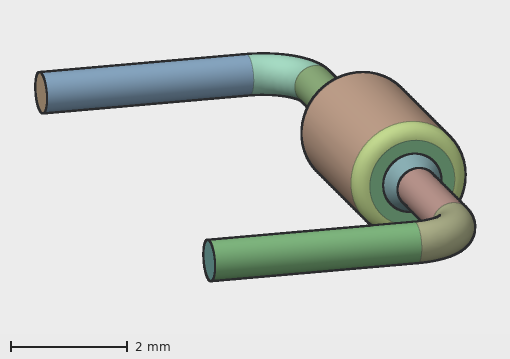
import cadquery as cq

overall_length = 10.87
wire_diameter = 0.72
bend_radius = 0.92
lead_reach = 4.62

body_diameter = 2.04
body_length = 3.48
body_edge_radius = 0.26

collar_length = 0.32
collar_base_diameter = 1.04

wire_radius = wire_diameter / 2
body_end = body_length / 2
leg_x = overall_length / 2 - wire_radius
bend_start_x = leg_x - bend_radius


def make_body():
    """Cylinder with rounded end edges, centred on the origin."""
    cylinder = cq.Workplane("YZ", origin=(-body_end, 0, 0)).circle(body_diameter / 2).extrude(body_length)
    return cylinder.edges("%CIRCLE").fillet(body_edge_radius)


def make_collar():
    """Cone that narrows from the +X body end to the wire."""
    return (
        cq.Workplane("XY")
        .moveTo(body_end, 0)
        .lineTo(body_end, collar_base_diameter / 2)
        .lineTo(body_end + collar_length, wire_radius)
        .lineTo(body_end + collar_length, 0)
        .close()
        .revolve(360, (0, 0, 0), (1, 0, 0))
    )


def make_lead():
    """Wire from the body centre out along +X, then bent to run along -Y."""
    path = (
        cq.Workplane("XY")
        .lineTo(bend_start_x, 0)
        .tangentArcPoint((leg_x, -bend_radius), relative=False)
        .lineTo(leg_x, -lead_reach)
    )
    return cq.Workplane("YZ").circle(wire_radius).sweep(path)


right_side = make_collar().union(make_lead())
left_side = right_side.mirror("YZ")
result = make_body().union(right_side).union(left_side)